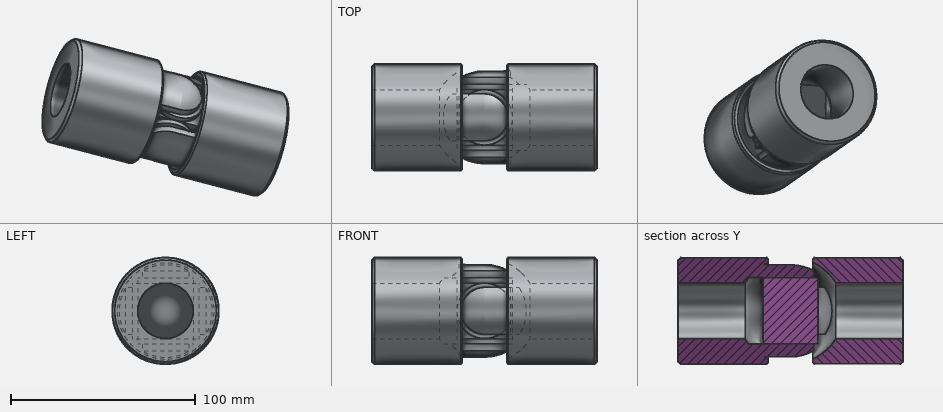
import cadquery as cq
import math

joint_length = 122.0
hub_diameter = 58.0
bore_diameter = 30.0
gap_between_hubs = 24.0
outer_chamfer = 1.5
inner_chamfer = 1.0

recess_radius = 28.8

ear_diameter = 50.3
ear_width = 25.4

cross_size = 30.0
disc_diameter = cross_size
disc_thickness = 2.9

hub_start = gap_between_hubs / 2
hub_end = joint_length / 2
recess_end = math.sqrt(recess_radius**2 - (bore_diameter / 2) ** 2)
ear_inner_offset = cross_size / 2 + disc_thickness


def make_hub():
    """Chamfered round hub whose shaft bore opens into a spherical recess about the joint centre."""
    hub_radius = hub_diameter / 2
    bore_radius = bore_diameter / 2
    recess_mouth_radius = math.sqrt(recess_radius**2 - hub_start**2)
    profile = (
        cq.Workplane("XY")
        .moveTo(recess_end, bore_radius)
        .lineTo(hub_end, bore_radius)
        .lineTo(hub_end, hub_radius - outer_chamfer)
        .lineTo(hub_end - outer_chamfer, hub_radius)
        .lineTo(hub_start + inner_chamfer, hub_radius)
        .lineTo(hub_start, hub_radius - inner_chamfer)
        .lineTo(hub_start, recess_mouth_radius)
        .radiusArc((recess_end, bore_radius), recess_radius)
        .close()
    )
    return profile.revolve(360, (0, 0, 0), (1, 0, 0))


def make_ears():
    """Two ears at +Y and -Y, with half-round ends about the joint centre and a domed outside."""
    ear_radius = ear_diameter / 2
    envelope = (
        cq.Workplane("XY")
        .moveTo(-ear_radius, 0)
        .lineTo(recess_end, 0)
        .lineTo(recess_end, ear_radius)
        .lineTo(0, ear_radius)
        .radiusArc((-ear_radius, 0), -ear_radius)
        .close()
        .revolve(360, (0, 0, 0), (1, 0, 0))
    )
    tongue_half = ear_width / 2
    tongue = (
        cq.Workplane("XZ")
        .moveTo(0, tongue_half)
        .lineTo(recess_end, tongue_half)
        .lineTo(recess_end, -tongue_half)
        .lineTo(0, -tongue_half)
        .threePointArc((-tongue_half, 0), (0, tongue_half))
        .close()
        .extrude(ear_diameter, both=True)
    )
    space_between_ears = cq.Workplane("XY").box(joint_length, 2 * ear_inner_offset, hub_diameter)
    return envelope.intersect(tongue).cut(space_between_ears)


def make_yoke():
    """Yoke on the +X side with its ears at +Y and -Y."""
    return make_hub().union(make_ears())


def make_cross():
    """Cube with a round thrust disc facing each of the four ears."""
    cross = cq.Workplane("XY").box(cross_size, cross_size, cross_size)
    for plane in ("XY", "XZ"):
        discs = cq.Workplane(plane).circle(disc_diameter / 2).extrude(ear_inner_offset, both=True)
        cross = cross.union(discs)
    return cross


cross = make_cross()
yokes = [
    make_yoke(),
    make_yoke().rotate((0, 0, 0), (0, 0, 1), 180).rotate((0, 0, 0), (1, 0, 0), 90),
]

result = cq.Compound.makeCompound([cross.val(), *[yoke.val() for yoke in yokes]])